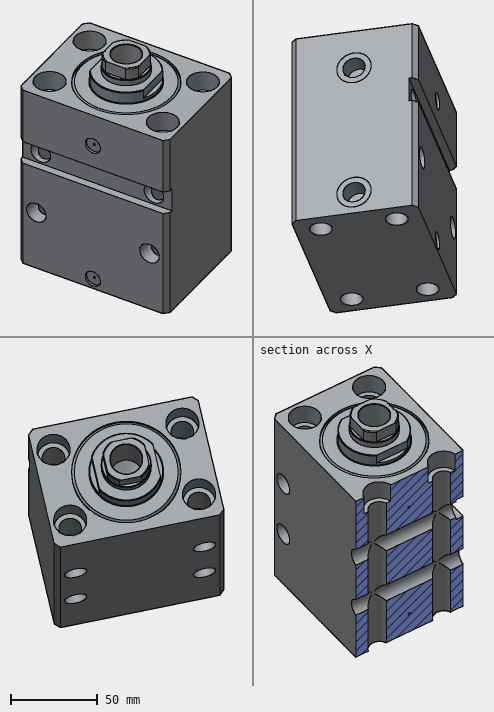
import cadquery as cq
import math

total_height = 145.0
block_length = 100.0
block_width = 75.0
block_height = 125.0
corner_chamfer = 3.0

mount_x = 38.0
mount_y = 22.5
bolt_hole_dia = 13.0
counterbore_dia = 19.0
counterbore_depth = 13.0

keyway_depth = 5.0
keyway_height = 15.5
upper_cross_z = 80.0
lower_cross_z = 40.0

front_port_z = (7.0, 103.0)
front_port_dia = 10.2
front_port_depth = 1.6

side_port_z = (14.4, 99.9)
side_port_dia = 13.2
side_port_depth = 12.0
spotface_dia = 20.3
spotface_depth = 0.1

feed_hole_dia = 1.3
feed_hole_depth = 4.4

gland_dia = 63.0
gland_depth = 21.8
gland_chamfer = 1.6
lip_dia = 43.0
lip_height = 0.3

rod_dia = 42.0
collar_height = 8.0
collar_across_flats = 36.0
collar_flat_start = 2.0
neck_dia = 28.9
neck_height = 4.0
head_dia = 27.8
head_chamfer = 0.6
head_across_flats = 24.4
edge_chamfer = 0.5
rod_hole_dia = 18.4
rod_hole_chamfer = 0.3
rod_hole_depth = 24.6
drill_tip_angle = 118.0


def cylinder(diameter, height, base_z):
    """Upright cylinder on the Z axis."""
    return cq.Workplane("XY").workplane(offset=base_z).circle(diameter / 2).extrude(height)


def drill_from_front(x, z, diameter, start, depth):
    """Cutter along +Y that starts at the given distance behind the -Y face."""
    base = cq.Vector(x, -block_width / 2 + start, z)
    return cq.Workplane(cq.Solid.makeCylinder(diameter / 2, depth, base, cq.Vector(0, 1, 0)))


def drill_from_left(z, diameter, start, depth):
    """Cutter along +X that starts at the given distance behind the -X face."""
    base = cq.Vector(-block_length / 2 + start, 0, z)
    return cq.Workplane(cq.Solid.makeCylinder(diameter / 2, depth, base, cq.Vector(1, 0, 0)))


def make_housing():
    body = cq.Workplane("XY").box(block_length, block_width, block_height, centered=(True, True, False))
    body = body.edges("|Z").chamfer(corner_chamfer)

    body = (
        body.faces(">Z").workplane(origin=(0, 0, block_height))
        .rect(2 * mount_x, 2 * mount_y, forConstruction=True).vertices()
        .cboreHole(bolt_hole_dia, counterbore_dia, counterbore_depth)
    )

    keyway = cq.Workplane("XY").box(block_length, 2 * keyway_depth, keyway_height)
    body = body.cut(keyway.translate((0, -block_width / 2, upper_cross_z)))

    for z in (lower_cross_z, upper_cross_z):
        for x in (-mount_x, mount_x):
            body = body.cut(drill_from_front(x, z, bolt_hole_dia, 0, block_width))

    for z in front_port_z:
        body = body.cut(drill_from_front(0, z, front_port_dia, 0, front_port_depth))
        body = body.cut(drill_from_front(0, z, feed_hole_dia, front_port_depth, feed_hole_depth))

    for z in side_port_z:
        body = body.cut(drill_from_left(z, spotface_dia, 0, spotface_depth))
        body = body.cut(drill_from_left(z, side_port_dia, 0, side_port_depth))
        body = body.cut(drill_from_left(z, feed_hole_dia, side_port_depth, feed_hole_depth))

    return body.cut(cylinder(gland_dia, gland_depth, block_height - gland_depth))


def make_gland():
    seat_z = block_height - gland_depth
    body = cylinder(gland_dia, gland_depth, seat_z).faces(">Z").edges().chamfer(gland_chamfer)
    body = body.union(cylinder(lip_dia, lip_height, block_height))
    return body.cut(cylinder(rod_dia, gland_depth + lip_height, seat_z))


def make_rod():
    foot_z = block_height - gland_depth
    neck_z = block_height + collar_height
    head_z = neck_z + neck_height

    body = cylinder(rod_dia, neck_z - foot_z, foot_z).faces(">Z").chamfer(edge_chamfer)
    flat_z = block_height + collar_flat_start
    flats = cq.Workplane("XY").workplane(offset=flat_z).rect(collar_across_flats, rod_dia)
    flats = flats.extrude(neck_z - flat_z)
    body = body.cut(cylinder(rod_dia, neck_z - flat_z, flat_z).cut(flats))

    body = body.union(cylinder(neck_dia, neck_height, neck_z).faces(">Z").chamfer(edge_chamfer))

    head_height = total_height - head_z
    head = cylinder(head_dia, head_height, head_z).faces(">Z").chamfer(head_chamfer)
    square = cq.Workplane("XY").workplane(offset=head_z).rect(head_across_flats, head_across_flats)
    body = body.union(head.intersect(square.extrude(head_height)))

    tip_radius = rod_hole_dia / 2
    tip_height = tip_radius / math.tan(math.radians(drill_tip_angle / 2))
    floor_z = total_height - rod_hole_depth
    hole = (
        cq.Workplane("XZ")
        .moveTo(0, floor_z - tip_height)
        .lineTo(tip_radius, floor_z)
        .lineTo(tip_radius, total_height - rod_hole_chamfer)
        .lineTo(tip_radius + rod_hole_chamfer, total_height)
        .lineTo(0, total_height)
        .close()
        .revolve(360, (0, 0), (0, 1))
    )
    return body.cut(hole)


housing = make_housing()
gland = make_gland()
rod = make_rod()

result = cq.Compound.makeCompound([housing.val(), gland.val(), rod.val()])